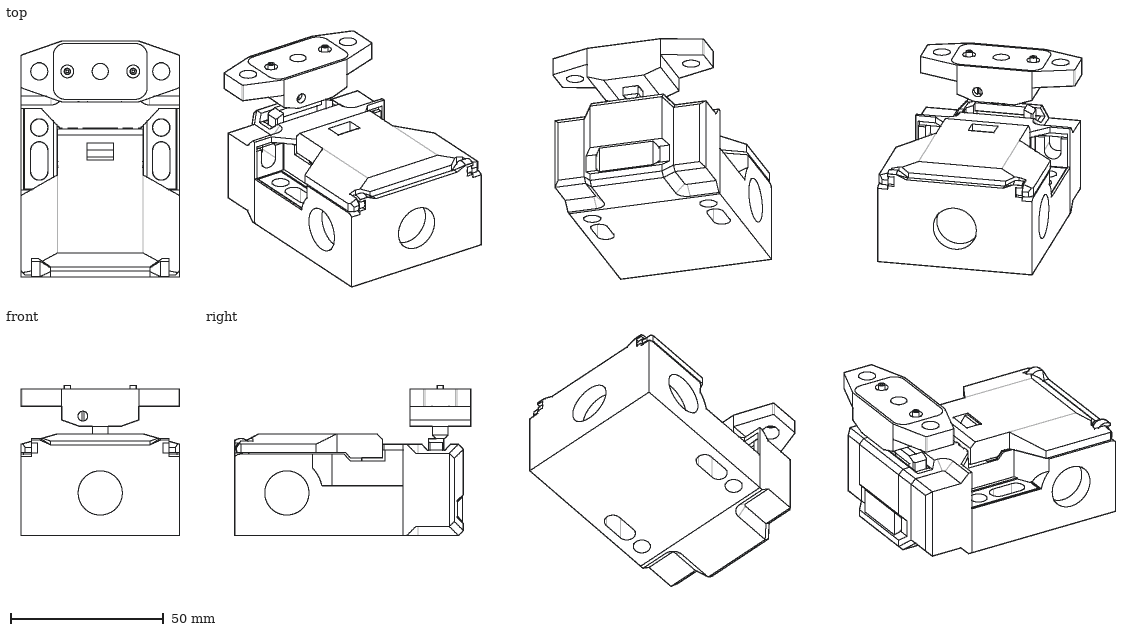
import cadquery as cq

half_width = 26.0
head_front = 55.2
head_rear = 75.0
head_height = 30.0
far_away = 100.0

pocket_inner_x = 14.2
pocket_floor_z = 16.4
pocket_diag_outer_y = 25.5
pocket_diag_inner_y = 31.9
recess_depth = 0.45
recess_inner_x = 15.4
recess_outer_x = 25.1
recess_chamfer = 0.3
recess_start_y = 28.8
mount_x = 20.0
mount_hole_d = 5.6
mount_hole_y = 49.0
mount_slot_front_y = 31.8
mount_slot_rear_y = 44.3

entry_r = 7.25
entry_z = 14.0
entry_y = 17.1
entry_depth = 5.2
entry_boss_r = 11.7

seam_z = 26.7
seam_gap = 0.5
low_seam_z = 24.5
low_gap = 1.0
ramp_front_y = 35.9
ramp_rear_y = 37.9
upstand_front_y = 49.2
lid_bottom_z = 28.0
lip_half_width = 13.5
lip_rear_y = 41.7

wall_top_z = 29.8
wall_top_depth = 1.95
wall_depth = 3.3
hinge_y = 2.0
hinge_z = 28.75
knuckle_r = 3.15
knuckle_outer_x = 22.6
knuckle_cone_x = 19.7
knuckle_tip_x = 16.3
knuckle_tip_r = wall_top_z - hinge_z
knuckle_face_z = 31.3
pin_r = 1.65
pin_inner_x = 20.5
corner_round_r = 2.6
corner_round_drop = 0.8
corner_round_y = 1.8

cover_top_z = 33.4
cover_flat_x = 14.0
cover_edge_z = 30.0
cover_rear_y = 48.5
cover_diag_outer_y = 26.7
cover_diag_inner_y = 33.5
cover_rear_chamfer = 1.9
front_slope_y = 7.9
front_slope_low_z = 31.0
ear_front_y = 0.6
ear_chamfer = 1.4
ear_slope_z = 28.9
relief_y = 6.0
relief_corner_x = 20.2
latch_half_width = 4.3
latch_front_y = 38.3
latch_ramp_front_y = 39.4
latch_ramp_rear_y = 41.6
latch_rear_y = 43.9
latch_ledge_z = 32.8
latch_floor_z = 29.6

head_step = 3.0
crown_half_width = 12.4
head_chamfer = 1.65
flange_depth = 1.2
shoulder_corner_r = 0.7
lid_rear_half_width = 19.3
lid_front_half_width = 13.0
lid_front_y = cover_rear_y
lid_notch_depth = 0.4
lid_notch_spans = [(0, 5.6), (7.4, 10.5), (12.6, 13.5)]
groove_half_width = 4.7
groove_floor_half = 2.85
groove_depth = 2.0
rear_groove_z = 8.7
rear_land_inset = 0.25
rear_land_half_width = 11.0
entry_slot_half = 12.9
access_top_z = 26.0
access_depth = 2.0
access_face_depth = 0.6
access_slot_z = 21.4
access_slot_depth = 8.0

act_y = 67.4
act_half_depth = 10.0
plate_top = 48.15
plate_bottom = 42.4
plate_side_half = 5.35
plate_edge_fillet = 0.5
block_half = 12.65
block_shoulder_z = 37.9
block_bottom = 35.85
block_bottom_half = 6.9
insert_half_x = 15.4
insert_half_y = 9.15
insert_corner = 3.9
insert_thick = 3.0
screw_x = 10.8
screw_r = 1.05
screw_top = 49.3
screw_bottom = 40.0
screw_socket_r = 0.45
screw_socket_depth = 0.8
screw_chamfer = 0.1
screw_sink_r = 2.1
screw_sink_depth = 1.8
set_x = -5.7
set_z = 39.2
set_r = 1.6
set_recess = 2.0
set_length = 5.0
set_slot = 0.7
set_slot_depth = 0.8

stem_r = 2.65
stem_half = 2.6
stem_bottom = 33.0
ball_z = 42.5
neck_half = 1.5
key_top = 31.85
key_bottom = 22.0
key_front_y = 63.5
key_rear_y = 68.6
prong_inner_x = 8.5
prong_outer_x = 11.5
prong_slope_z = 30.5
prong_chamfer = 0.5
bridge_front_y = 66.0
bridge_bottom = 29.0


def box(x0, x1, y0, y1, z0, z1):
    """Axis-aligned block between two corners."""
    return cq.Workplane("XY").box(x1 - x0, y1 - y0, z1 - z0, centered=False).translate((x0, y0, z0))


def plan(points, z0, z1):
    """Prism from an XY outline."""
    return cq.Workplane("XY").workplane(offset=z0).polyline(points).close().extrude(z1 - z0)


def side_profile(points, x0, x1):
    """Prism along X from a YZ outline."""
    return cq.Workplane("YZ").workplane(offset=x0).polyline(points).close().extrude(x1 - x0)


def front_profile(points, y0, y1):
    """Prism along Y from an XZ outline."""
    return cq.Workplane("XZ", origin=(0, y0, 0)).polyline(points).close().extrude(y0 - y1)


def rod_x(r, y, z, x0, x1):
    """Round bar along X."""
    return cq.Workplane("YZ", origin=(x0, y, z)).circle(r).extrude(x1 - x0)


def rod_y(r, x, z, y0, y1):
    """Round bar along Y."""
    return cq.Workplane("XZ", origin=(x, y0, z)).circle(r).extrude(y0 - y1)


def rod_z(r, x, y, z0, z1):
    """Round bar along Z."""
    return cq.Workplane("XY", origin=(x, y, z0)).circle(r).extrude(z1 - z0)


def mirrored(shape):
    """The shape together with its mirror image on the other side of the YZ plane."""
    return shape.union(shape.mirror("YZ"))


def side_pocket():
    """Open mounting pocket on the +X side, with its recessed floor and holes."""
    outline = [
        (pocket_inner_x, pocket_diag_inner_y),
        (half_width, pocket_diag_outer_y),
        (half_width, head_front),
        (pocket_inner_x, head_front),
    ]
    pocket = plan(outline, pocket_floor_z, head_height)
    recess_z = pocket_floor_z - recess_depth
    recess = front_profile(
        [
            (recess_inner_x, pocket_floor_z),
            (recess_inner_x, recess_z),
            (recess_outer_x - recess_chamfer, recess_z),
            (recess_outer_x, recess_z + recess_chamfer),
            (recess_outer_x, pocket_floor_z),
        ],
        recess_start_y,
        head_front,
    )
    full_height = plan(outline, 0, head_height)
    boss = rod_x(entry_boss_r, entry_y, entry_z, 0, half_width)
    pocket = pocket.union(recess.intersect(full_height)).cut(boss)
    slot_r = mount_hole_d / 2
    slot = (
        cq.Workplane("XY")
        .center(mount_x, (mount_slot_front_y + mount_slot_rear_y) / 2)
        .slot2D(mount_slot_rear_y - mount_slot_front_y, mount_hole_d, 90)
        .extrude(pocket_floor_z)
    )
    return pocket.union(rod_z(slot_r, mount_x, mount_hole_y, 0, pocket_floor_z)).union(slot)


def hinge_knuckle():
    """Round knuckle on the +X side, tapering inward to the front wall."""
    profile = [
        (knuckle_outer_x, 0),
        (knuckle_outer_x, knuckle_r),
        (knuckle_cone_x, knuckle_r),
        (knuckle_tip_x, knuckle_tip_r),
        (knuckle_tip_x, 0),
    ]
    knuckle = (
        cq.Workplane("XY")
        .polyline(profile)
        .close()
        .revolve(360, (0, 0, 0), (1, 0, 0))
        .translate((0, hinge_y, hinge_z))
    )
    face_block = front_profile(
        [
            (knuckle_outer_x, seam_z),
            (knuckle_outer_x, knuckle_face_z),
            (knuckle_cone_x, knuckle_face_z),
            (knuckle_tip_x, wall_top_z),
            (knuckle_tip_x, seam_z),
        ],
        0,
        hinge_y,
    )
    return knuckle.union(face_block).intersect(box(0, half_width, 0, far_away, seam_z, far_away))


def make_base():
    body = side_profile(
        [
            (0, 0),
            (head_front, 0),
            (head_front, lid_bottom_z),
            (upstand_front_y, lid_bottom_z),
            (upstand_front_y, low_seam_z),
            (ramp_rear_y, low_seam_z),
            (ramp_front_y, seam_z),
            (0, seam_z),
        ],
        -half_width,
        half_width,
    )
    front_wall = side_profile(
        [
            (0, seam_z),
            (wall_depth, seam_z),
            (wall_depth, wall_top_z - (wall_depth - wall_top_depth)),
            (wall_top_depth, wall_top_z),
            (0, wall_top_z),
        ],
        -knuckle_outer_x,
        knuckle_outer_x,
    )
    pin_seat = rod_x(pin_r, hinge_y, hinge_z, pin_inner_x, knuckle_outer_x).union(
        box(pin_inner_x, knuckle_outer_x, 0, hinge_y, hinge_z - pin_r, hinge_z + pin_r)
    )
    corner_round = (
        cq.Workplane("YZ", origin=(knuckle_outer_x, 0, 0))
        .moveTo(0, seam_z)
        .lineTo(corner_round_y, seam_z)
        .radiusArc((0, seam_z - corner_round_drop), -corner_round_r)
        .close()
        .extrude(half_width - knuckle_outer_x)
    )
    side_entry = rod_x(entry_r, entry_y, entry_z, half_width - entry_depth, half_width)
    return (
        body.cut(mirrored(corner_round))
        .union(front_wall)
        .union(mirrored(hinge_knuckle()))
        .cut(mirrored(pin_seat))
        .cut(mirrored(side_pocket()))
        .cut(mirrored(side_entry))
        .cut(rod_y(entry_r, 0, entry_z, 0, entry_depth))
    )


def latch_window():
    """Pocket in the cover top with a ramp down to its deep rear half."""
    return side_profile(
        [
            (latch_front_y, cover_top_z),
            (latch_front_y, latch_ledge_z),
            (latch_ramp_front_y, latch_ledge_z),
            (latch_ramp_rear_y, latch_floor_z),
            (latch_rear_y, latch_floor_z),
            (latch_rear_y, cover_top_z),
        ],
        -latch_half_width,
        latch_half_width,
    )


def make_cover():
    bottom_z = seam_z + seam_gap
    low_bottom_z = low_seam_z + low_gap
    lengthwise = side_profile(
        [
            (ear_front_y, bottom_z),
            (ramp_front_y + seam_gap, bottom_z),
            (ramp_rear_y, low_bottom_z),
            (cover_rear_y, low_bottom_z),
            (cover_rear_y, cover_top_z - cover_rear_chamfer),
            (cover_rear_y - cover_rear_chamfer, cover_top_z),
            (front_slope_y, cover_top_z),
            (wall_depth, front_slope_low_z),
            (ear_front_y + ear_chamfer, front_slope_low_z),
            (ear_front_y, ear_slope_z),
        ],
        -half_width,
        half_width,
    )
    crosswise = front_profile(
        [
            (-half_width, low_seam_z),
            (-half_width, cover_edge_z),
            (-cover_flat_x, cover_top_z),
            (cover_flat_x, cover_top_z),
            (half_width, cover_edge_z),
            (half_width, low_seam_z),
        ],
        0,
        cover_rear_y,
    )
    right_edge = [
        (knuckle_outer_x, ear_front_y),
        (half_width - ear_chamfer, ear_front_y),
        (half_width, ear_front_y + ear_chamfer),
        (half_width, cover_diag_outer_y),
        (cover_flat_x, cover_diag_inner_y),
        (cover_flat_x, cover_rear_y),
    ]
    relief_edge = [
        (knuckle_tip_x, wall_depth),
        (relief_corner_x, relief_y),
        (knuckle_outer_x, relief_y),
    ]
    right_half = relief_edge + right_edge
    left_half = [(-x, y) for x, y in reversed(right_half)]
    outline = plan(right_half + left_half, low_seam_z, cover_top_z)
    lip = side_profile(
        [
            (wall_depth, seam_z),
            (ramp_front_y, seam_z),
            (ramp_rear_y, low_seam_z),
            (lip_rear_y, low_seam_z),
            (lip_rear_y, low_bottom_z),
            (ramp_rear_y, low_bottom_z),
            (ramp_front_y + seam_gap, bottom_z),
            (wall_depth, bottom_z),
        ],
        -lip_half_width,
        lip_half_width,
    )
    hinge_pin = rod_x(pin_r, hinge_y, hinge_z, pin_inner_x, knuckle_outer_x)
    return (
        lengthwise.intersect(crosswise)
        .intersect(outline)
        .union(lip)
        .union(mirrored(hinge_pin))
        .cut(latch_window())
    )


def head_section(inset):
    """YZ outline of the head, shrunk at top, bottom and rear by the inset."""
    rear = head_rear - inset
    top = head_height - inset
    return [
        (head_front, inset),
        (rear - head_chamfer, inset),
        (rear, inset + head_chamfer),
        (rear, top - head_chamfer),
        (rear - head_chamfer, top),
        (head_front, top),
    ]


def shoulder_corners():
    """Conical corner fills where the flange slope meets the crown slope, top and bottom."""
    top_r = shoulder_corner_r + head_step
    axis_x = crown_half_width + top_r
    axis_y = head_front + flange_depth + top_r
    floor_z = head_height - head_step
    cone = cq.Solid.makeCone(shoulder_corner_r, top_r, head_step, cq.Vector(axis_x, axis_y, floor_z))
    fill = box(
        crown_half_width, axis_x, head_front + flange_depth, axis_y, floor_z, head_height
    ).cut(cq.Workplane(cone))
    return fill.union(fill.mirror("XY", (0, 0, head_height / 2)))


def head_shoulder():
    """+X half of the head: 45-degree transition from the crown, then the lower shoulder."""
    transition = (
        cq.Workplane("YZ")
        .workplane(offset=crown_half_width)
        .polyline(head_section(0))
        .close()
        .workplane(offset=head_step)
        .polyline(head_section(head_step))
        .close()
        .loft(ruled=True)
    )
    shoulder_rear = head_rear - head_step
    shoulder = side_profile(head_section(head_step), crown_half_width + head_step, half_width)
    edge_cut = plan(
        [
            (half_width, shoulder_rear - head_chamfer),
            (half_width, shoulder_rear),
            (half_width - head_chamfer, shoulder_rear),
        ],
        0,
        head_height,
    )
    flange_end = head_front + flange_depth
    flange = side_profile(
        [
            (head_front, 0),
            (flange_end, 0),
            (flange_end + head_step, head_step),
            (flange_end + head_step, head_height - head_step),
            (flange_end, head_height),
            (head_front, head_height),
        ],
        crown_half_width,
        half_width,
    )
    return transition.union(shoulder.cut(edge_cut)).union(flange).union(shoulder_corners())


def head_lid():
    """Tapered tongue reaching forward to the cover, with shallow notches in its front edge."""
    lid = plan(
        [
            (-lid_rear_half_width, head_front),
            (-lid_front_half_width, lid_front_y),
            (lid_front_half_width, lid_front_y),
            (lid_rear_half_width, head_front),
        ],
        lid_bottom_z,
        head_height,
    )
    notch_spans = [(-b, -a) for a, b in lid_notch_spans] + lid_notch_spans
    for start, end in notch_spans:
        notch = box(start, end, lid_front_y, lid_front_y + lid_notch_depth, lid_bottom_z, head_height)
        lid = lid.cut(notch)
    return lid


def groove_outline(inset):
    """Trapezoid of a key groove: position across the groove against depth below the face."""
    return [
        (-groove_half_width + inset, 0),
        (-groove_floor_half + inset, groove_depth),
        (groove_floor_half - inset, groove_depth),
        (groove_half_width - inset, 0),
    ]


def access_pocket():
    """Screwdriver access above a mounting hole: shallow pocket over a round-bottomed slot."""
    slot_r = mount_hole_d / 2
    upper = box(
        pocket_inner_x, recess_outer_x, head_front, head_front + access_depth, access_top_z, lid_bottom_z
    )
    slot_end = head_front + access_slot_depth
    slot = rod_y(slot_r, mount_x, access_slot_z, head_front, slot_end).union(
        box(mount_x - slot_r, mount_x + slot_r, head_front, slot_end, access_slot_z, access_top_z)
    )
    face = box(
        pocket_inner_x,
        recess_outer_x,
        head_front,
        head_front + access_face_depth,
        pocket_floor_z - recess_depth,
        lid_bottom_z,
    )
    return upper.union(slot).union(face)


def make_head():
    groove_y = (key_front_y + key_rear_y) / 2
    reach = crown_half_width + head_step
    crown = side_profile(head_section(0), -crown_half_width, crown_half_width)
    top_groove = side_profile(
        [(groove_y + across, head_height - depth) for across, depth in groove_outline(0)], -reach, reach
    )
    rear_groove = side_profile(
        [(head_rear - depth, rear_groove_z + across) for across, depth in groove_outline(0)], -reach, reach
    )
    rear_land = side_profile(
        [
            (head_rear - max(depth, rear_land_inset), rear_groove_z + across)
            for across, depth in groove_outline(2 * rear_land_inset)
        ],
        -rear_land_half_width,
        rear_land_half_width,
    )
    land_taper = plan(
        [
            (-rear_land_half_width, head_rear - groove_depth),
            (-rear_land_half_width + groove_depth, head_rear),
            (rear_land_half_width - groove_depth, head_rear),
            (rear_land_half_width, head_rear - groove_depth),
        ],
        0,
        head_height,
    )
    key_slot = box(-entry_slot_half, entry_slot_half, key_front_y, key_rear_y, key_bottom, head_height)
    return (
        crown.union(mirrored(head_shoulder()))
        .union(head_lid())
        .cut(top_groove)
        .cut(rear_groove)
        .union(rear_land.intersect(land_taper))
        .cut(key_slot)
        .cut(mirrored(access_pocket()))
    )


def make_insert_blank():
    """Rounded rectangular lid before its holes are made."""
    return (
        cq.Workplane("XY", origin=(0, act_y, plate_top - insert_thick))
        .rect(2 * insert_half_x, 2 * insert_half_y)
        .extrude(insert_thick)
        .edges("|Z")
        .fillet(insert_corner)
    )


def actuator_bores():
    """Holes for the stem, the angle screws and the set screw."""
    bores = rod_z(stem_r, 0, act_y, block_bottom, plate_top)
    for x in (-screw_x, screw_x):
        bores = bores.union(rod_z(screw_r, x, act_y, screw_bottom, plate_top))
    front = act_y - act_half_depth
    return bores.union(rod_y(set_r, set_x, set_z, front, front + set_recess + set_length))


def make_holder():
    front = act_y - act_half_depth
    rear = act_y + act_half_depth
    plate = plan(
        [
            (-half_width, act_y - plate_side_half),
            (-block_half, front),
            (block_half, front),
            (half_width, act_y - plate_side_half),
            (half_width, act_y + plate_side_half),
            (block_half, rear),
            (-block_half, rear),
            (-half_width, act_y + plate_side_half),
        ],
        plate_bottom,
        plate_top,
    )
    plate = plate.edges("|Z and (<X or >X)").fillet(plate_edge_fillet)
    block = front_profile(
        [
            (-block_half, plate_top),
            (-block_half, block_shoulder_z),
            (-block_bottom_half, block_bottom),
            (block_bottom_half, block_bottom),
            (block_half, block_shoulder_z),
            (block_half, plate_top),
        ],
        front,
        rear,
    )
    holder = plate.union(block).cut(make_insert_blank()).cut(actuator_bores())
    return holder.cut(mirrored(rod_z(mount_hole_d / 2, mount_x, act_y, plate_bottom, plate_top)))


def make_insert():
    insert = make_insert_blank().cut(actuator_bores())
    sink_bottom = plate_top - screw_sink_depth
    for x in (-screw_x, screw_x):
        sink = cq.Solid.makeCone(screw_r, screw_sink_r, screw_sink_depth, cq.Vector(x, act_y, sink_bottom))
        insert = insert.cut(cq.Workplane(sink))
    return insert


def make_angle_screw(x):
    """Vertical adjusting screw with a small socket in its tip."""
    screw = rod_z(screw_r, x, act_y, screw_bottom, screw_top).faces(">Z").chamfer(screw_chamfer)
    return screw.cut(rod_z(screw_socket_r, x, act_y, screw_top - screw_socket_depth, screw_top))


def make_set_screw():
    """Slotted set screw sunk in the front face of the holder."""
    start = act_y - act_half_depth + set_recess
    screw = rod_y(set_r, set_x, set_z, start, start + set_length)
    half_slot = set_slot / 2
    slot = box(
        set_x - half_slot,
        set_x + half_slot,
        start,
        start + set_slot_depth,
        set_z - set_r,
        set_z + set_r,
    )
    return screw.cut(slot)


def key_prong():
    """+X prong of the key with its sloped top."""
    prong = front_profile(
        [
            (prong_inner_x, key_bottom),
            (prong_inner_x, key_top),
            (prong_outer_x, prong_slope_z),
            (prong_outer_x, key_bottom),
        ],
        key_front_y,
        key_rear_y,
    )
    return prong.edges("|Z and >X").chamfer(prong_chamfer)


def make_key():
    stem = rod_z(stem_r, 0, act_y, block_bottom, ball_z)
    shank = box(-stem_half, stem_half, act_y - stem_half, act_y + stem_half, stem_bottom, block_bottom)
    ball = cq.Workplane("XY").sphere(stem_r).translate((0, act_y, ball_z))
    neck = (
        cq.Workplane("XY", origin=(0, act_y, key_top))
        .rect(2 * neck_half, 2 * neck_half)
        .workplane(offset=stem_bottom - key_top)
        .rect(2 * stem_half, 2 * stem_half)
        .loft(ruled=True)
    )
    bridge = box(-prong_inner_x, prong_inner_x, bridge_front_y, key_rear_y, bridge_bottom, key_top)
    return stem.union(ball).union(shank).union(neck).union(bridge).union(mirrored(key_prong()))


bodies = [
    make_base(),
    make_head(),
    make_cover(),
    make_holder(),
    make_insert(),
    make_key(),
    make_set_screw(),
    *[make_angle_screw(x) for x in (-screw_x, screw_x)],
]
result = cq.Compound.makeCompound([solid for body in bodies for solid in body.solids().vals()])